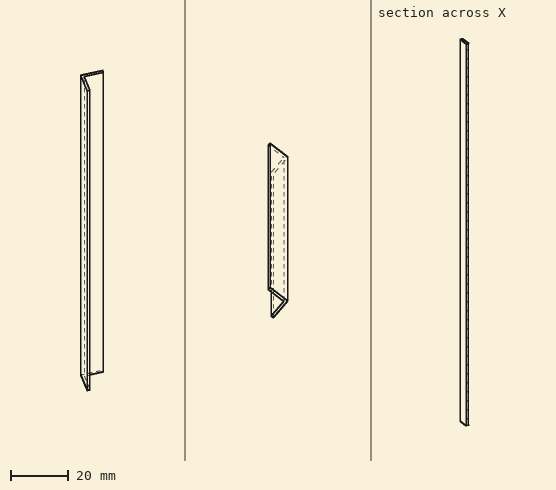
import cadquery as cq

length = 150.0
leg = 8.0
thickness = 1.0

half_leg = leg / 2
inner = thickness - half_leg

result = (
    cq.Workplane("XY")
    .workplane(offset=-length / 2)
    .moveTo(-half_leg, -half_leg)
    .lineTo(half_leg, -half_leg)
    .lineTo(half_leg, inner)
    .lineTo(inner, inner)
    .lineTo(inner, half_leg)
    .lineTo(-half_leg, half_leg)
    .close()
    .extrude(length)
)